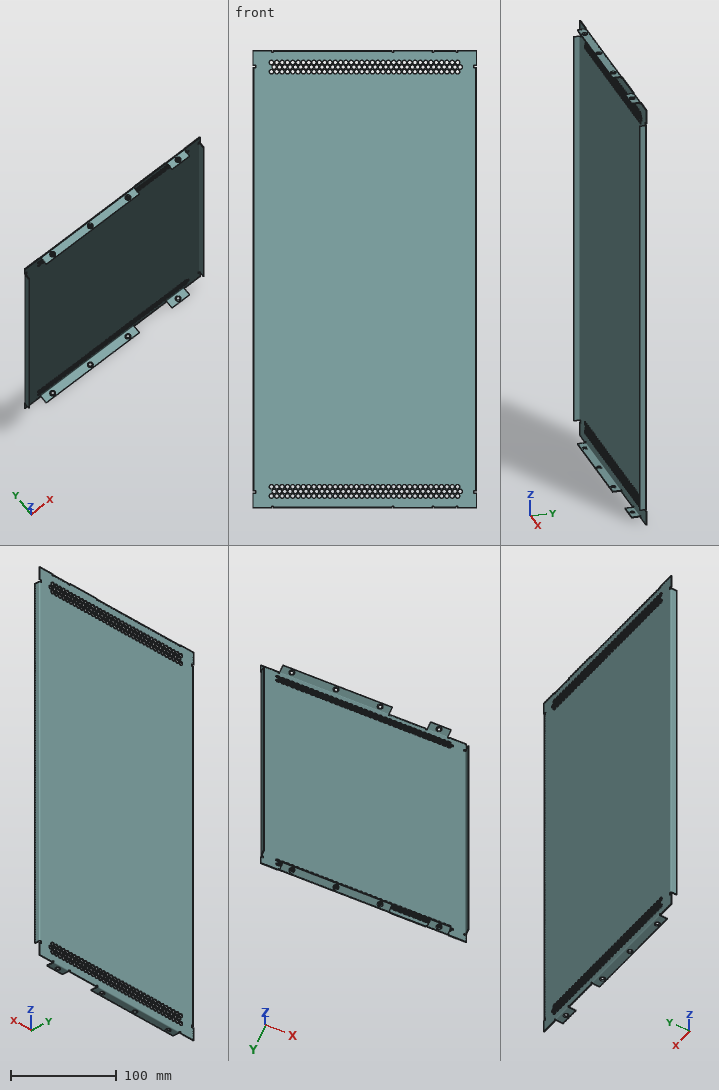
import cadquery as cq
import math

WIDTH = 211.0
DEPTH = 9.0
HEIGHT = 431.5
SHEET = 1.0
BEND_INNER_RADIUS = 0.2
BEND_OUTER_RADIUS = BEND_INNER_RADIUS + SHEET
BACK_Y = DEPTH / 2

SIDE_FLANGE_LENGTH = 399.5
SIDE_FLANGE_DEPTH = 7.0
SIDE_RELIEF_LENGTH = 2.0
SIDE_RELIEF_DEPTH = 2.5

LONG_TAB_SPAN = (-86.3, 26.0)
SHORT_TAB_SPAN = (65.0, 86.3)
TAB_RELIEF_WIDTH = 1.5
TAB_RELIEF_DEPTH = 1.42

LONG_TAB_FIRST_HOLE_X = -75.5
LONG_TAB_HOLE_SPACING = 45.5
LONG_TAB_HOLE_COUNT = 3
SHORT_TAB_HOLE_X = -LONG_TAB_FIRST_HOLE_X
HOLE_SETBACK = 5.0
SINK_DIAMETER = 5.5
BORE_DIAMETER = 3.4
SINK_DEPTH = 0.65

VENT_DIAMETER = 4.0
VENT_COUNT = 36
VENT_SPAN = 175.5
VENT_PITCH = VENT_SPAN / (VENT_COUNT - 1)
VENT_ROW_PITCH = VENT_PITCH * math.sqrt(3) / 2
VENT_FIRST_X = -88.0
VENT_CENTER_Z = 200.0

TAB_SPANS = (LONG_TAB_SPAN, SHORT_TAB_SPAN)
TAB_HOLE_XS = [LONG_TAB_FIRST_HOLE_X + i * LONG_TAB_HOLE_SPACING for i in range(LONG_TAB_HOLE_COUNT)]
TAB_HOLE_XS.append(SHORT_TAB_HOLE_X)


def channel(width, depth, length):
    """U-section along Z, centred on it, with the web at the back and rounded bends."""
    middle_y = BACK_Y - depth / 2
    outside = cq.Workplane("XY").box(width, depth, length).translate((0, middle_y, 0))
    outside = outside.edges("|Z and >Y").fillet(BEND_OUTER_RADIUS)
    inside = cq.Workplane("XY").box(width - 2 * SHEET, depth, length).translate((0, middle_y - SHEET, 0))
    inside = inside.edges("|Z and >Y").fillet(BEND_INNER_RADIUS)
    return outside.cut(inside)


def bent_panel():
    """Flat panel with its side flanges and end tabs, separated by relief slots."""
    sheet_y = BACK_Y - SHEET / 2
    panel = cq.Workplane("XY").box(WIDTH, SHEET, HEIGHT).translate((0, sheet_y, 0))

    side_gap = cq.Workplane("XY").box(
        2 * SIDE_RELIEF_DEPTH, DEPTH, SIDE_FLANGE_LENGTH + 2 * SIDE_RELIEF_LENGTH
    )
    for side in (-1, 1):
        panel = panel.cut(side_gap.translate((side * WIDTH / 2, 0, 0)))
    panel = panel.union(channel(WIDTH, SIDE_FLANGE_DEPTH, SIDE_FLANGE_LENGTH))

    for left, right in TAB_SPANS:
        tab_width = right - left
        middle_x = (left + right) / 2
        tab_gap = cq.Workplane("XY").box(tab_width + 2 * TAB_RELIEF_WIDTH, DEPTH, 2 * TAB_RELIEF_DEPTH)
        for end in (-1, 1):
            panel = panel.cut(tab_gap.translate((middle_x, 0, end * HEIGHT / 2)))
        tab_pair = channel(HEIGHT, DEPTH, tab_width).rotate((0, 0, 0), (0, 1, 0), 90)
        panel = panel.union(tab_pair.translate((middle_x, 0, 0)))
    return panel


def tab_hole_cutter(x):
    """Top-tab hole: a straight bore that opens into a cone at the outer face."""
    y = BACK_Y - HOLE_SETBACK
    top_z = HEIGHT / 2
    bore = cq.Solid.makeCylinder(BORE_DIAMETER / 2, 2 * SHEET, cq.Vector(x, y, top_z - 2 * SHEET))
    cone = cq.Solid.makeCone(
        BORE_DIAMETER / 2, SINK_DIAMETER / 2, SINK_DEPTH, cq.Vector(x, y, top_z - SINK_DEPTH)
    )
    return cq.Workplane(bore).union(cq.Workplane(cone))


def vent_pins():
    """Pins for all vent holes; the middle row of each group is shifted half a pitch."""
    points = []
    for end in (-1, 1):
        for row in (-1, 0, 1):
            shift = VENT_PITCH / 2 if row == 0 else 0
            z = end * VENT_CENTER_Z + row * VENT_ROW_PITCH
            points += [(VENT_FIRST_X + shift + i * VENT_PITCH, z) for i in range(VENT_COUNT)]
    pins = cq.Workplane("XZ").pushPoints(points).circle(VENT_DIAMETER / 2)
    return pins.extrude(DEPTH, both=True)


result = bent_panel()
for hole_x in TAB_HOLE_XS:
    cutter = tab_hole_cutter(hole_x)
    result = result.cut(cutter).cut(cutter.mirror("XY"))
result = result.cut(vent_pins())